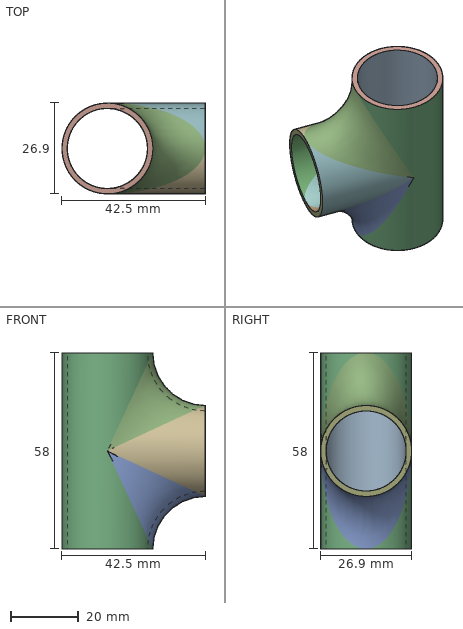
import cadquery as cq
import math

run_length = 58.0
pipe_diameter = 26.9
wall = 1.6

pipe_radius = pipe_diameter / 2
bore_radius = pipe_radius - wall
reach = run_length / 2

profile_steps = 16
cross_steps = 40
surface_tolerance = 1e-5
seam_tolerance = 1e-3


def blend_face(radius):
    """Curved crotch face on the +X +Z side, between the run and the branch.

    At y = 0 its edge is a quarter arc tangent to both pipes. Every plane
    through the Y axis cuts it in half an ellipse, so it narrows to a point
    at y = -radius and y = +radius.
    """
    arc_radius = reach - radius
    grid = []
    for i in range(profile_steps + 1):
        arc_angle = math.pi / 2 * i / profile_steps
        x = reach - arc_radius * math.cos(arc_angle)
        z = reach - arc_radius * math.sin(arc_angle)
        row = []
        for j in range(cross_steps + 1):
            turn = math.pi * (j / cross_steps - 0.5)
            narrowing = math.cos(turn)
            row.append(cq.Vector(x * narrowing, radius * math.sin(turn), z * narrowing))
        grid.append(row)
    return cq.Face.makeSplineApprox(grid, tol=surface_tolerance, minDeg=3, maxDeg=8)


def tee_body(radius):
    """Solid tee of one radius, with blended crotches above and below the branch."""
    run = cq.Workplane("XY", origin=(0, 0, -reach)).circle(radius).extrude(run_length)
    branch = cq.Workplane("YZ").circle(radius).extrude(reach)

    run_cut = [(0, 0), (radius, reach), (reach, reach), (reach, -reach), (radius, -reach)]
    run_cutter = cq.Workplane("XZ").polyline(run_cut).close().extrude(pipe_diameter, both=True)
    branch_keep = [(0, 0), (reach, radius), (reach, -radius)]
    branch_keeper = cq.Workplane("XZ").polyline(branch_keep).close().extrude(pipe_diameter, both=True)
    run = run.cut(run_cutter)
    branch = branch.intersect(branch_keeper)

    upper_blend = blend_face(radius)
    skin = [upper_blend, upper_blend.mirror("XY")]
    skin += run.faces("%CYLINDER").vals() + run.faces("|Z").vals()
    skin += branch.faces("%CYLINDER").vals() + branch.faces(">X").vals()
    shell = cq.occ_impl.shapes.shell(*skin, tol=seam_tolerance)
    return cq.Workplane(cq.Solid.makeSolid(shell))


hollow_tee = tee_body(pipe_radius).cut(tee_body(bore_radius))
result = cq.Workplane(hollow_tee.solids().val())